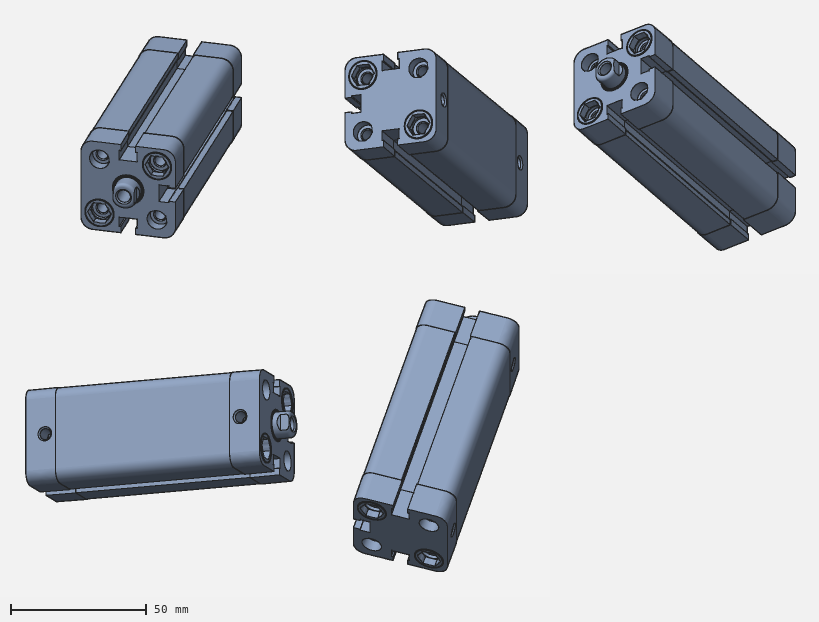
import cadquery as cq
import math


total_length = 98.6
rod_reach = 6.4
cap_length = 11.7
body_length = total_length - rod_reach
barrel_end = body_length - cap_length

barrel_width = 36.0
cap_outer_width = 36.1
cap_inner_width = 36.3
corner_radius = 4.5

slot_depth = 6.4
slot_lip = 2.7
slot_width = 6.8
cap_slot_opening = 5.6
barrel_slot_opening = 6.2
slot_angles = (0, 90, -90)

bolt_spacing = 22.0
bolt_hole = 7.5
bolt_hole_depth = 4.3
thread_drill = 4.1
thread_mouth = 4.9
thread_chamfer = (thread_mouth - thread_drill) / 2
socket_corners = 9.0
socket_relief = 8.0
socket_depth = 3.0
ring_outer = 11.1
ring_inner = 10.5
ring_floor = 10.9
ring_depth = (ring_floor - ring_inner) / 2

port_inset = 7.6
port_mouth = 5.4
port_chamfer = (port_mouth - thread_drill) / 2

rod_diameter = 10.0
rod_fillet = 1.3
rod_flat_width = 8.0
rod_flat_length = 3.5
rod_bore = 4.9
rod_bore_mouth = 6.0
rod_bore_depth = 9.9
core_diameter = 20.0
cap_wall = 4.9
rear_gap = 1.0

wiper_mouth = 12.0
wiper_floor = 11.4
wiper_lip = 10.5
wiper_lip_floor = 10.9
wiper_depth = (wiper_mouth - wiper_floor) / 2


def cylinder(diameter, start, end, x=0.0, z=0.0):
    """Cylinder along Y from Y = start to Y = end."""
    base = cq.Vector(x, start, z)
    return cq.Workplane(cq.Solid.makeCylinder(diameter / 2, end - start, base, cq.Vector(0, 1, 0)))


def cone(start_diameter, end_diameter, start, end, x=0.0, z=0.0):
    """Cone along Y from Y = start to Y = end."""
    base = cq.Vector(x, start, z)
    return cq.Workplane(
        cq.Solid.makeCone(start_diameter / 2, end_diameter / 2, end - start, base, cq.Vector(0, 1, 0))
    )


def rounded_square(width):
    """Outline shared by the caps and the barrel, in the plane Y = 0."""
    return (
        cq.Workplane("XZ")
        .sketch()
        .rect(width, width)
        .vertices()
        .fillet(corner_radius)
        .finalize()
    )


def cut_slots(block, opening, length):
    """Cut the T-slots along the whole length of a block that starts at Y = 0."""
    edge = cap_inner_width / 2
    floor = edge - slot_depth
    for angle in slot_angles:
        start = cq.Workplane("XY", origin=(floor, 0, 0))
        channel = start.box(slot_depth - slot_lip, length, slot_width, centered=(False, False, True))
        mouth = start.box(slot_depth, length, opening, centered=(False, False, True))
        slot = channel.union(mouth).rotate((0, 0, 0), (0, 1, 0), angle)
        block = block.cut(slot)
    return block


def bolt_cavity(x, z):
    """Round counterbore with a chamfered thread hole running on to the barrel."""
    counterbore = cylinder(bolt_hole, 0, bolt_hole_depth, x, z)
    chamfer_end = bolt_hole_depth + thread_chamfer
    chamfer = cone(thread_mouth, thread_drill, bolt_hole_depth, chamfer_end, x, z)
    thread = cylinder(thread_drill, bolt_hole_depth, cap_length, x, z)
    return counterbore.union(thread).union(chamfer)


def socket(x, z):
    """Hexagon socket with its flats relieved by a round bore."""
    hexagon = cq.Workplane("XZ", origin=(x, 0, z)).polygon(6, socket_corners).extrude(-socket_depth)
    return hexagon.union(cylinder(socket_relief, 0, socket_depth, x, z))


def ring_groove(x, z):
    """Shallow ring around a socket: straight outer wall, sloping inner wall."""
    return cylinder(ring_outer, 0, ring_depth, x, z).cut(
        cone(ring_inner, ring_floor, 0, ring_depth, x, z)
    )


def cut_port(cap):
    """Cut the chamfered air port from the -X side to the axis."""
    start = cq.Vector(-cap_inner_width / 2, port_inset, 0)
    inward = cq.Vector(1, 0, 0)
    drill = cq.Solid.makeCylinder(thread_drill / 2, cap_inner_width / 2, start, inward)
    mouth = cq.Solid.makeCone(port_mouth / 2, thread_drill / 2, port_chamfer, start, inward)
    return cap.cut(cq.Workplane(drill)).cut(cq.Workplane(mouth))


def make_cap():
    """Cap with its outer face at Y = 0 and its joint with the barrel at Y = cap_length."""
    taper = math.degrees(math.atan((cap_inner_width - cap_outer_width) / 2 / cap_length))
    cap = rounded_square(cap_outer_width).extrude(-cap_length, taper=-taper)
    cap = cut_slots(cap, cap_slot_opening, cap_length)

    offset = bolt_spacing / 2
    for x in (-offset, offset):
        for z in (-offset, offset):
            cap = cap.cut(bolt_cavity(x, z))
            if x == z:
                cap = cap.cut(socket(x, z)).cut(ring_groove(x, z))

    cap = cut_port(cap)
    return cap.cut(cylinder(core_diameter, cap_wall, cap_length))


def make_front_cap():
    cap = make_cap()
    cap = cap.cut(cylinder(rod_diameter, 0, cap_length))
    groove = cone(wiper_mouth, wiper_floor, 0, wiper_depth)
    groove = groove.cut(cone(wiper_lip, wiper_lip_floor, 0, wiper_depth))
    return cap.cut(groove)


def make_rear_cap():
    """Cap mirrored to face the far end."""
    return make_cap().mirror("XZ").translate((0, body_length, 0))


def make_barrel():
    length = barrel_end - cap_length
    barrel = rounded_square(barrel_width).extrude(-length)
    barrel = cut_slots(barrel, barrel_slot_opening, length)
    barrel = barrel.cut(cylinder(core_diameter, 0, length))
    return barrel.translate((0, cap_length, 0))


def make_rod():
    """Rod with two wrench flats, a threaded end bore and a thick core that fills the bore."""
    rod = cylinder(rod_diameter, -rod_reach, cap_wall).faces("<Y").edges().fillet(rod_fillet)
    rod = rod.union(cylinder(core_diameter, cap_wall, body_length - cap_wall - rear_gap))

    flat_end = rod_flat_length - rod_reach
    slope = (rod_diameter - rod_flat_width) / 2
    for side in (-1, 1):
        flat = (
            cq.Workplane("XY", origin=(0, 0, -rod_diameter / 2))
            .moveTo(side * rod_flat_width / 2, -rod_reach)
            .lineTo(side * rod_flat_width / 2, flat_end)
            .lineTo(side * rod_diameter / 2, flat_end + slope)
            .lineTo(side * rod_diameter / 2, -rod_reach)
            .close()
            .extrude(rod_diameter)
        )
        rod = rod.cut(flat)

    bore_chamfer = (rod_bore_mouth - rod_bore) / 2
    rod = rod.cut(cylinder(rod_bore, -rod_reach, rod_bore_depth - rod_reach))
    return rod.cut(cone(rod_bore_mouth, rod_bore, -rod_reach, bore_chamfer - rod_reach))


front_cap = make_front_cap()
rear_cap = make_rear_cap()
barrel = make_barrel()
rod = make_rod()

result = cq.Compound.makeCompound([front_cap.val(), rear_cap.val(), barrel.val(), rod.val()])